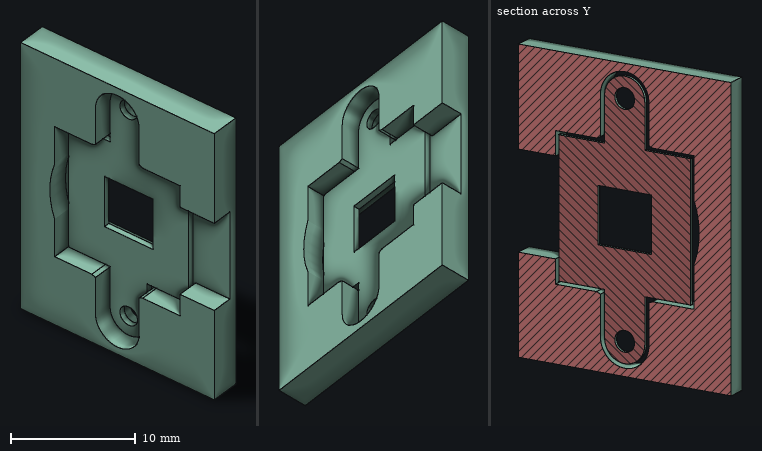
import cadquery as cq

PLATE_WIDTH = 20.0
PLATE_THICKNESS = 2.8
PLATE_HEIGHT = 26.5
FRONT_Y = -PLATE_THICKNESS / 2

BOARD_SIDE = 12.4
TAB_WIDTH = 3.82
SCREW_OFFSET = 10.25
SCREW_DIAMETER = 1.8
WINDOW_SIDE = 4.98
INSERT_THICKNESS = 0.55

POCKET_DEPTH = 2.01
POCKET_SIDE = 12.93
POCKET_TAB_WIDTH = 4.5
BEVEL_WIDTH = 0.37
BEVEL_RISE = 0.15
CHANNEL_HEIGHT = 8.67
BULGE_DEPTH = 0.5
BULGE_HEIGHT = 5.5

OPENING_WIDTH = 6.9
OPENING_HEIGHT = 5.95

POCKET_FLOOR_Y = FRONT_Y + POCKET_DEPTH
INSERT_FRONT_Y = POCKET_FLOOR_Y - INSERT_THICKNESS


def front_sketch(front_y):
    """XZ workplane at front_y; positive extrusion goes toward -Y."""
    return cq.Workplane("XZ", origin=(0, front_y, 0))


def tabbed_square(side, tab_width, front_y, depth):
    """Square with a round-ended tab above and below, running back from front_y."""
    square = front_sketch(front_y).rect(side, side).extrude(-depth)
    tabs_length = 2 * SCREW_OFFSET + tab_width
    tabs = front_sketch(front_y).slot2D(tabs_length, tab_width, 90).extrude(-depth)
    return square.union(tabs)


def screw_holes(front_y, depth):
    return (
        front_sketch(front_y)
        .pushPoints([(0, SCREW_OFFSET), (0, -SCREW_OFFSET)])
        .circle(SCREW_DIAMETER / 2)
        .extrude(-depth)
    )


def make_pocket():
    pocket = tabbed_square(POCKET_SIDE, POCKET_TAB_WIDTH, FRONT_Y, POCKET_DEPTH)

    half_tab = POCKET_TAB_WIDTH / 2
    half_side = POCKET_SIDE / 2
    for x_sign in (-1, 1):
        for z_sign in (-1, 1):
            bevel = (
                front_sketch(FRONT_Y)
                .moveTo(x_sign * half_tab, z_sign * half_side)
                .lineTo(x_sign * (half_tab + BEVEL_WIDTH), z_sign * half_side)
                .lineTo(x_sign * half_tab, z_sign * (half_side + BEVEL_RISE))
                .close()
                .extrude(-POCKET_DEPTH)
            )
            pocket = pocket.union(bevel)

    channel_length = PLATE_WIDTH / 2
    channel = (
        front_sketch(FRONT_Y)
        .center(channel_length / 2, 0)
        .rect(channel_length, CHANNEL_HEIGHT)
        .extrude(-POCKET_DEPTH)
    )
    bulge = (
        front_sketch(FRONT_Y)
        .moveTo(-half_side, BULGE_HEIGHT / 2)
        .threePointArc((-half_side - BULGE_DEPTH, 0), (-half_side, -BULGE_HEIGHT / 2))
        .lineTo(0, 0)
        .close()
        .extrude(-POCKET_DEPTH)
    )
    return pocket.union(channel).union(bulge)


def make_plate():
    plate = cq.Workplane("XY").box(PLATE_WIDTH, PLATE_THICKNESS, PLATE_HEIGHT)
    opening = front_sketch(FRONT_Y).rect(OPENING_WIDTH, OPENING_HEIGHT).extrude(-PLATE_THICKNESS)
    holes = screw_holes(FRONT_Y, PLATE_THICKNESS)
    return plate.cut(make_pocket()).cut(opening).cut(holes)


def make_insert():
    board = tabbed_square(BOARD_SIDE, TAB_WIDTH, INSERT_FRONT_Y, INSERT_THICKNESS)
    window = front_sketch(INSERT_FRONT_Y).rect(WINDOW_SIDE, WINDOW_SIDE).extrude(-INSERT_THICKNESS)
    return board.cut(window).cut(screw_holes(INSERT_FRONT_Y, INSERT_THICKNESS))


plate = make_plate()
insert = make_insert()

result = cq.Compound.makeCompound([plate.val(), insert.val()])